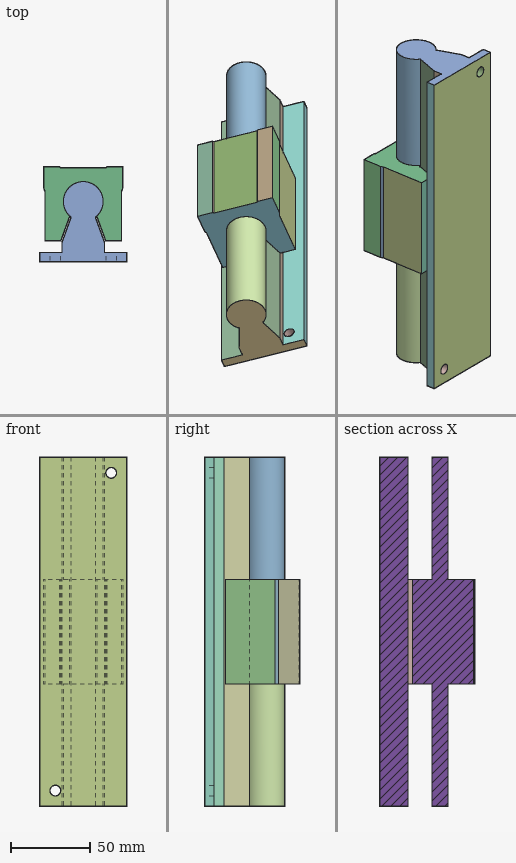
import cadquery as cq
import math

length = 220.0
plate_width = 55.0
plate_thickness = 6.0

hole_diameter = 6.5
hole_offset_x = 17.5
hole_end_distance = 10.0

shaft_radius = 12.5
shaft_center_y = 38.0
web_width = 27.0
web_taper_start_y = 12.0
web_top_y = 28.2

block_length = 66.0
block_bottom_y = 13.2
block_top_y = 60.0
block_lower_width = 48.5
block_upper_width = 50.0
side_step_bottom_y = 44.5
side_step_top_y = 46.5
top_recess_width = 30.0
top_recess_depth = 0.7
slot_clearance = 1.0

web_half_width = web_width / 2
web_top_half_width = math.sqrt(shaft_radius**2 - (shaft_center_y - web_top_y) ** 2)
taper_slope = (web_half_width - web_top_half_width) / (web_top_y - web_taper_start_y)


def extrude_mirrored(right_side, depth):
    """Extrude, centred on Z, the outline made of right-side points and their mirror about X = 0."""
    left_side = [(-x, y) for x, y in reversed(right_side)]
    outline = cq.Workplane("XY").polyline(right_side + left_side).close()
    return outline.extrude(depth / 2, both=True)


def make_rail():
    """Plate, tapering web and shaft, all running the full length."""
    plate_and_web = extrude_mirrored(
        [
            (plate_width / 2, 0),
            (plate_width / 2, plate_thickness),
            (web_half_width, plate_thickness),
            (web_half_width, web_taper_start_y),
            (web_top_half_width, web_top_y),
        ],
        length,
    )
    shaft = (
        cq.Workplane("XY")
        .center(0, shaft_center_y)
        .circle(shaft_radius)
        .extrude(length / 2, both=True)
    )
    return plate_and_web.union(shaft)


def make_mounting_holes():
    """Cutters for the two diagonally opposite plate holes."""
    hole_z = length / 2 - hole_end_distance
    return (
        cq.Workplane("XZ")
        .pushPoints([(hole_offset_x, hole_z), (-hole_offset_x, -hole_z)])
        .circle(hole_diameter / 2)
        .extrude(-plate_thickness)
    )


def make_block():
    """Bearing block with stepped sides, recessed top and a slot clearing the web."""
    body = extrude_mirrored(
        [
            (block_lower_width / 2, block_bottom_y),
            (block_lower_width / 2, side_step_bottom_y),
            (block_upper_width / 2, side_step_top_y),
            (block_upper_width / 2, block_top_y),
            (top_recess_width / 2, block_top_y),
            (top_recess_width / 2 - top_recess_depth, block_top_y - top_recess_depth),
        ],
        block_length,
    )
    slot_top_half_width = web_top_half_width + slot_clearance
    slot_height = web_top_y - block_bottom_y
    slot = extrude_mirrored(
        [
            (slot_top_half_width + taper_slope * slot_height, block_bottom_y),
            (slot_top_half_width, web_top_y),
        ],
        block_length,
    )
    return body.cut(slot)


rail = make_rail().cut(make_mounting_holes())
result = rail.union(make_block())